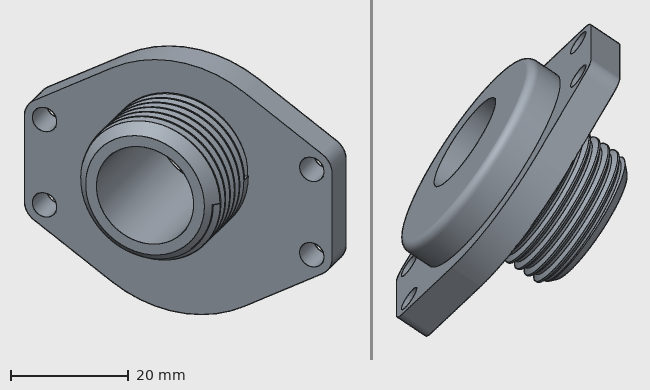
import cadquery as cq
import math

flange_thickness = 6.0
flange_arc_radius = 23.5
hole_pitch_x = 49.5
hole_pitch_z = 16.0
hole_diameter = 4.5
flange_width = 57.0
corner_radius = (flange_width - hole_pitch_x) / 2

boss_diameter = 39.0
boss_length = 6.0
boss_fillet = 1.5

neck_offset_z = 4.5
neck_length = 14.0
neck_chamfer = 2.0
bore_diameter = 18.0

thread_diameter = 26.0
thread_radius = thread_diameter / 2
thread_pitch = 2.0
thread_turns = 6
thread_depth = 1.0
thread_root_flat = 0.5
thread_flank_angle = 30.0
thread_start = 1.25
cutter_overshoot = 0.1


def cylinder(diameter, y_start, y_end, z_centre=0.0):
    """Cylinder along Y between two Y positions."""
    axis_plane = cq.Plane(origin=(0, y_start, z_centre), xDir=(1, 0, 0), normal=(0, 1, 0))
    return cq.Workplane(axis_plane).circle(diameter / 2).extrude(y_end - y_start)


def make_flange():
    """Outline tangent to a large central circle and to a round corner about each hole."""
    corner_x = hole_pitch_x / 2
    corner_z = hole_pitch_z / 2
    corner_distance = math.hypot(corner_x, corner_z)
    slope = (
        math.asin((flange_arc_radius - corner_radius) / corner_distance)
        - math.atan2(corner_z, corner_x)
    )
    middle = (slope + math.pi / 2) / 2

    def on_big_arc(angle):
        return flange_arc_radius * math.sin(angle), flange_arc_radius * math.cos(angle)

    def on_corner(angle):
        return corner_x + corner_radius * math.sin(angle), corner_z + corner_radius * math.cos(angle)

    quarter = (
        cq.Workplane("XZ")
        .lineTo(0, flange_arc_radius)
        .threePointArc(on_big_arc(slope / 2), on_big_arc(slope))
        .lineTo(*on_corner(slope))
        .threePointArc(on_corner(middle), on_corner(math.pi / 2))
        .lineTo(flange_width / 2, 0)
        .close()
        .extrude(-flange_thickness)
    )
    half = quarter.union(quarter.mirror("XY"))
    plate = half.union(half.mirror("YZ")).clean()
    for side_x in (-1, 1):
        for side_z in (-1, 1):
            hole = cylinder(hole_diameter, 0, flange_thickness, side_z * corner_z)
            plate = plate.cut(hole.translate((side_x * corner_x, 0, 0)))
    return plate


def make_boss():
    boss = cylinder(boss_diameter, flange_thickness, flange_thickness + boss_length)
    return boss.faces(">Y").edges().fillet(boss_fillet)


def make_thread_groove():
    """Trapezoidal groove cutter wound about Z, with its first profile at Z = 0 on the +X side."""
    root_radius = thread_radius - thread_depth
    outer_radius = thread_radius + cutter_overshoot
    flank_run = (outer_radius - root_radius) * math.tan(math.radians(thread_flank_angle))
    root_half = thread_root_flat / 2
    outer_half = root_half + flank_run
    path = cq.Wire.makeHelix(thread_pitch, thread_pitch * thread_turns, root_radius)
    return (
        cq.Workplane("XZ")
        .polyline([
            (root_radius, -root_half),
            (outer_radius, -outer_half),
            (outer_radius, outer_half),
            (root_radius, root_half),
        ])
        .close()
        .sweep(cq.Workplane(path), isFrenet=True)
    )


def make_neck():
    neck = cylinder(thread_diameter, -neck_length, 0, neck_offset_z)
    neck = neck.faces("<Y").edges().chamfer(neck_chamfer)
    groove = make_thread_groove().rotate((0, 0, 0), (1, 0, 0), -90)
    groove = groove.translate((0, -neck_length + thread_start, neck_offset_z))
    return neck.cut(groove)


bore = cylinder(bore_diameter, -neck_length, flange_thickness + boss_length, neck_offset_z)
result = make_flange().union(make_boss()).union(make_neck()).cut(bore)